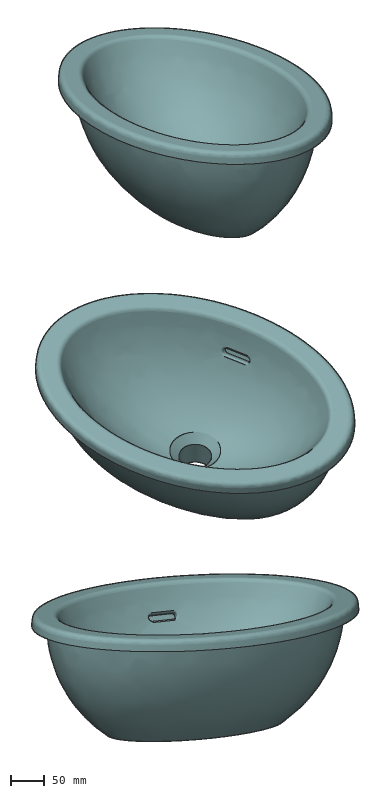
import cadquery as cq
import math

length = 505.0
width = 360.0
height = 186.0

rim_half_x = length / 2
rim_half_y = width / 2
rim_thickness = 17.0
rim_draft_inset = 1.5
rim_outer_fillet = 8.0
rim_inner_fillet = 7.5
rim_underside_z = height - rim_thickness

rim_overhang = 22.0
bowl_top_half_x = rim_half_x - rim_overhang
bowl_top_half_y = rim_half_y - rim_overhang
foot_half_x = 139.5
foot_half_y = 67.5
bowl_arc_radius_x = 211.0
bowl_arc_radius_y = 243.0

mouth_half_x = 215.0
mouth_half_y = 144.5
mouth_arc_radius_x = 260.0
mouth_arc_radius_y = 210.0

drain_seat_radius = 38.0
drain_hole_radius = 24.0
drain_seat_z = 50.5
drain_seat_depth = 12.0

overflow_length = 45.5
overflow_height = 10.0
overflow_depth = 10.0
overflow_z = 138.5
overflow_edge_fillet = 2.5

sections_per_wall = 6


def wall_arc_centre(low_point, high_point, radius):
    """Centre of the outward-bulging arc between two (half width, z) points of a wall."""
    run = high_point[0] - low_point[0]
    rise = high_point[1] - low_point[1]
    chord = math.hypot(run, rise)
    offset = math.sqrt(radius**2 - (chord / 2) ** 2)
    centre_width = (low_point[0] + high_point[0]) / 2 - offset * rise / chord
    centre_z = (low_point[1] + high_point[1]) / 2 + offset * run / chord
    return centre_width, centre_z


def wall_half_width(z, centre, radius):
    return centre[0] + math.sqrt(radius**2 - (z - centre[1]) ** 2)


def loft_ellipses(sections, ruled=False):
    """Loft through horizontal ellipses given as (z, half size in X, half size in Y)."""
    up = cq.Vector(0, 0, 1)
    along_x = cq.Vector(1, 0, 0)
    wires = [
        cq.Wire.makeEllipse(half_x, half_y, cq.Vector(0, 0, z), up, along_x)
        for z, half_x, half_y in sections
    ]
    return cq.Workplane(obj=cq.Solid.makeLoft(wires, ruled))


def arched_solid(low_z, high_z, centre_x, radius_x, centre_y, radius_y):
    """Solid with elliptical sections whose half sizes follow one arc in X and one in Y."""
    sections = []
    for i in range(sections_per_wall):
        z = low_z + (high_z - low_z) * i / (sections_per_wall - 1)
        half_x = wall_half_width(z, centre_x, radius_x)
        half_y = wall_half_width(z, centre_y, radius_y)
        sections.append((z, half_x, half_y))
    return loft_ellipses(sections)


def make_rim():
    bottom = (rim_underside_z, rim_half_x, rim_half_y)
    top = (height, rim_half_x - rim_draft_inset, rim_half_y - rim_draft_inset)
    rim = loft_ellipses([bottom, top], ruled=True)
    return rim.faces(">Z").edges().fillet(rim_outer_fillet)


def make_bowl():
    centre_x = wall_arc_centre((foot_half_x, 0), (bowl_top_half_x, rim_underside_z), bowl_arc_radius_x)
    centre_y = wall_arc_centre((foot_half_y, 0), (bowl_top_half_y, rim_underside_z), bowl_arc_radius_y)
    return arched_solid(0, rim_underside_z, centre_x, bowl_arc_radius_x, centre_y, bowl_arc_radius_y)


drain_seat_rim = (drain_seat_radius, drain_seat_z)
cavity_centre_x = wall_arc_centre(drain_seat_rim, (mouth_half_x, height), mouth_arc_radius_x)
cavity_centre_y = wall_arc_centre(drain_seat_rim, (mouth_half_y, height), mouth_arc_radius_y)


def make_cavity():
    return arched_solid(
        drain_seat_z, height, cavity_centre_x, mouth_arc_radius_x, cavity_centre_y, mouth_arc_radius_y
    )


def make_drain():
    seat_bottom_z = drain_seat_z - drain_seat_depth
    profile = [
        (0, 0),
        (drain_hole_radius, 0),
        (drain_hole_radius, seat_bottom_z),
        (drain_seat_radius, drain_seat_z),
        (0, drain_seat_z),
    ]
    return cq.Workplane("XZ").polyline(profile).close().revolve(360, (0, 0), (0, 1))


def make_overflow():
    half_width = wall_half_width(overflow_z, cavity_centre_y, mouth_arc_radius_y)
    into_wall = cq.Vector(0, cavity_centre_y[0] - half_width, overflow_z - cavity_centre_y[1])
    slot_plane = cq.Plane((0, -half_width, overflow_z), (1, 0, 0), into_wall)
    return (
        cq.Workplane(slot_plane)
        .workplane(offset=-overflow_depth)
        .slot2D(overflow_length, overflow_height)
        .extrude(2 * overflow_depth)
    )


def around_mouth_edge():
    """Box that holds the edge between the cavity and the rim's top, but not the outer edges."""
    margin = 1.0
    return cq.selectors.BoxSelector(
        (-mouth_half_x - margin, -mouth_half_y - margin, height - margin),
        (mouth_half_x + margin, mouth_half_y + margin, height + margin),
        boundingbox=True,
    )


def around_overflow_edges():
    """Box that holds the edges where the overflow slot meets the cavity wall, but not its floor."""
    half_width = wall_half_width(overflow_z, cavity_centre_y, mouth_arc_radius_y)
    reach = overflow_height / 2 + 1.0
    return cq.selectors.BoxSelector(
        (-overflow_length, -half_width - reach / 2, overflow_z - reach),
        (overflow_length, -half_width + reach, overflow_z + reach),
        boundingbox=True,
    )


basin = make_rim().union(make_bowl()).cut(make_cavity())
basin = basin.edges(around_mouth_edge()).fillet(rim_inner_fillet)
basin = basin.cut(make_drain()).cut(make_overflow())
result = basin.edges(around_overflow_edges()).fillet(overflow_edge_fillet)